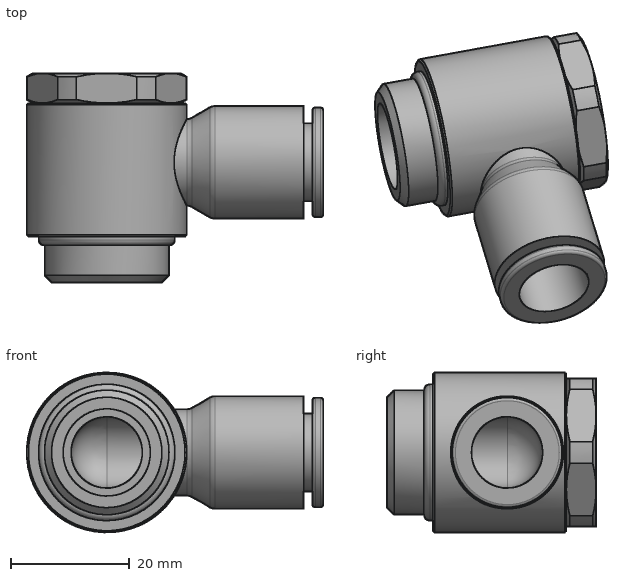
import cadquery as cq
import math


body_radius = 13.5
body_back_y = 10.0
body_front_y = -12.5
body_chamfer = 0.3
head_back_y = 15.0
head_across_flats = 25.0
head_sides = 6
head_chamfer_angle = 30.0

stem_radius = 10.5
stem_front_y = -20.25
stem_chamfer = 1.2
ring_round = 1.0
ring_radius = stem_radius + ring_round
ring_thickness = 1.5

neck_radius = 7.3
cone_start_x = 13.95
cone_angle = 30.0
cone_round = 1.6
sleeve_radius = 9.5
sleeve_end_x = 33.2
collar_radius = 6.6
flange_radius = 9.25
flange_start_x = 34.65
flange_round = 0.5
branch_end_x = 36.5

passage_radius = 6.0
stem_bore_radius = 7.35
stem_bore_depth = 7.65

full_turn = 360.0
origin = (0, 0, 0)


def cylinder_along_y(radius, start_y, end_y):
    """Solid cylinder on the stem axis, with start_y below end_y."""
    axis_plane = cq.Plane(origin=(0, start_y, 0), xDir=(1, 0, 0), normal=(0, 1, 0))
    return cq.Workplane(axis_plane).circle(radius).extrude(end_y - start_y)


def cylinder_along_x(radius, start_x, end_x):
    """Solid cylinder on the branch axis, with start_x below end_x."""
    return cq.Workplane("YZ", origin=(start_x, 0, 0)).circle(radius).extrude(end_x - start_x)


def make_body():
    body = cylinder_along_y(body_radius, body_front_y, body_back_y)
    return body.faces("<Y or >Y").chamfer(body_chamfer)


def make_head():
    """Hexagon with flats facing +Z and -Z, its corners turned down to the body radius."""
    height = head_back_y - body_back_y
    flat_distance = head_across_flats / 2
    corner_diameter = head_across_flats / math.cos(math.pi / head_sides)
    head_plane = cq.Plane(origin=(0, body_back_y, 0), xDir=(1, 0, 0), normal=(0, 1, 0))
    hexagon = cq.Workplane(head_plane).polygon(head_sides, corner_diameter).extrude(height)

    chamfer_height = (body_radius - flat_distance) * math.tan(math.radians(head_chamfer_angle))
    turned_blank = (
        cq.Workplane("XY")
        .moveTo(0, body_back_y)
        .lineTo(flat_distance, body_back_y)
        .lineTo(body_radius, body_back_y + chamfer_height)
        .lineTo(body_radius, head_back_y - chamfer_height)
        .lineTo(flat_distance, head_back_y)
        .lineTo(0, head_back_y)
        .close()
        .revolve(full_turn, origin, (0, 1, 0))
    )
    return hexagon.intersect(turned_blank)


def make_stem():
    stem = cylinder_along_y(stem_radius, stem_front_y, body_front_y)
    stem = stem.faces("<Y").chamfer(stem_chamfer)
    ring = cylinder_along_y(ring_radius, body_front_y - ring_thickness, body_front_y)
    ring = ring.faces("<Y").edges().fillet(ring_round)
    return stem.union(ring)


def make_branch():
    """Neck, cone and sleeve with rounded transitions, then the release collar and its flange."""
    slope = math.tan(math.radians(cone_angle))
    cone_end_x = cone_start_x + (sleeve_radius - neck_radius) / slope
    sleeve = (
        cq.Workplane("XY")
        .moveTo(0, 0)
        .lineTo(0, neck_radius)
        .lineTo(cone_start_x, neck_radius)
        .lineTo(cone_end_x, sleeve_radius)
        .lineTo(sleeve_end_x, sleeve_radius)
        .lineTo(sleeve_end_x, 0)
        .close()
        .revolve(full_turn, origin, (1, 0, 0))
    )
    for x in (cone_start_x, cone_end_x):
        rim = cq.selectors.NearestToPointSelector((x, 0, 0))
        sleeve = sleeve.edges(rim).fillet(cone_round)
    collar = cylinder_along_x(collar_radius, sleeve_end_x, flange_start_x)
    flange = cylinder_along_x(flange_radius, flange_start_x, branch_end_x)
    flange = flange.faces("<X or >X").edges().fillet(flange_round)
    return sleeve.union(collar).union(flange)


def make_passage():
    """Elbow passage with a spherical inner corner and a wider bore at the stem mouth."""
    passage = cylinder_along_y(passage_radius, stem_front_y, 0)
    passage = passage.union(cylinder_along_x(passage_radius, 0, branch_end_x))
    passage = passage.union(cq.Workplane("XY").sphere(passage_radius))
    mouth = cylinder_along_y(stem_bore_radius, stem_front_y, stem_front_y + stem_bore_depth)
    return passage.union(mouth)


outside = make_body().union(make_head()).union(make_stem()).union(make_branch())
result = outside.cut(make_passage())